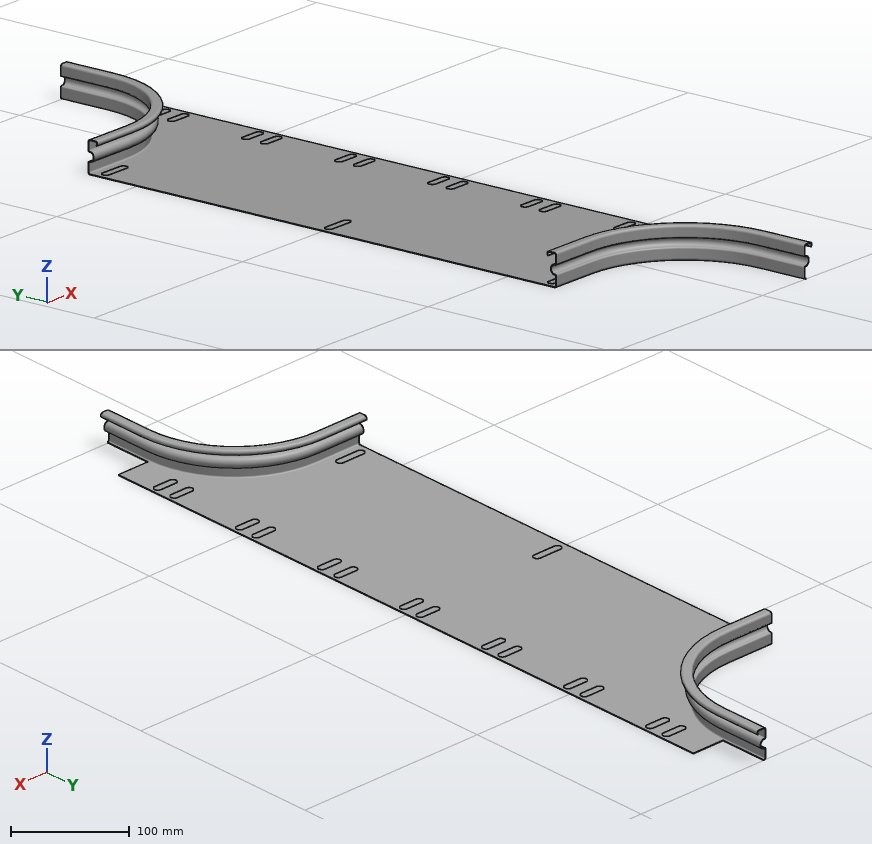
import cadquery as cq
import math

PLATE_WIDTH = 185.0
TOTAL_LENGTH = 801.0
SHEET = 1.0
HEIGHT = 31.0

LEAD = 50.0
BEND_RADIUS = 98.5
RAIL_X = LEAD + BEND_RADIUS
PLATE_END_Y = TOTAL_LENGTH / 2 - LEAD
RAIL_Y = PLATE_END_Y - BEND_RADIUS

FOOT_RADIUS = 2.5
GROOVE_Z = 16.0
GROOVE_RADIUS = 4.0
GROOVE_EDGE_RADIUS = 2.0
RIM_WIDTH = 10.5
RIM_RADIUS = 2.5
LIP_END_ANGLE = -60
TOUCHING = 0.01

SLOT_WIDTH = 7.6
SLOT_DEPTH = SHEET / 2
EDGE_SLOT_LENGTH = 25.0
EDGE_SLOT_X = 169.0
SLOT_PAIR_COUNT = 7
SLOT_PAIR_PITCH = 100.0
SLOT_PAIR_GAP = 20.0
SIDE_SLOT_LENGTH = 31.0
SIDE_SLOT_X = 21.0
SIDE_SLOT_PITCH = 240.0


def make_plate():
    """Flat sheet with concave left corners, reaching up to the foot of the rails."""
    edge_x = RAIL_X + FOOT_RADIUS
    edge_y = RAIL_Y - FOOT_RADIUS
    edge_radius = BEND_RADIUS + FOOT_RADIUS
    outline = (
        cq.Workplane("XY")
        .moveTo(0, -edge_y)
        .lineTo(LEAD, -edge_y)
        .radiusArc((edge_x, -PLATE_END_Y), edge_radius)
        .lineTo(PLATE_WIDTH, -PLATE_END_Y)
        .lineTo(PLATE_WIDTH, PLATE_END_Y)
        .lineTo(edge_x, PLATE_END_Y)
        .radiusArc((LEAD, edge_y), edge_radius)
        .lineTo(0, edge_y)
        .close()
    )
    return outline.extrude(SHEET)


def section_bends(inset):
    """Bends of one skin of the rail sheet, from foot to lip.

    Each bend is (centre x, centre z, radius, start angle, end angle).
    The skin lies `inset` behind the face towards the bend centre.
    """
    groove_edge_rise = GROOVE_RADIUS + GROOVE_EDGE_RADIUS
    edge_radius = GROOVE_EDGE_RADIUS - inset
    rim_z = HEIGHT - RIM_RADIUS
    rim_radius = RIM_RADIUS - inset
    return [
        (FOOT_RADIUS, FOOT_RADIUS, FOOT_RADIUS - inset, 270, 180),
        (GROOVE_EDGE_RADIUS, GROOVE_Z - groove_edge_rise, edge_radius, 180, 90),
        (GROOVE_EDGE_RADIUS, GROOVE_Z, GROOVE_RADIUS + inset, -90, 90),
        (GROOVE_EDGE_RADIUS, GROOVE_Z + groove_edge_rise, edge_radius, 270, 180),
        (RIM_RADIUS, rim_z, rim_radius, 180, 90),
        (RIM_WIDTH - RIM_RADIUS, rim_z, rim_radius, 90, LIP_END_ANGLE),
    ]


def bend_points(bend):
    """Start, middle and end point of a bend."""
    centre_x, centre_z, radius, start, end = bend
    angles = [math.radians(angle) for angle in (start, (start + end) / 2, end)]
    return [
        (centre_x + radius * math.cos(angle), centre_z + radius * math.sin(angle))
        for angle in angles
    ]


def rail_section(plane):
    """Sheet section: curved foot, wall with a round groove, and a rolled rim.

    Local x points away from the bend centre, local y points up.
    Straights join the bends that do not already touch.
    """
    front = [bend_points(bend) for bend in section_bends(0)]
    back = [bend_points(bend)[::-1] for bend in reversed(section_bends(SHEET))]
    reached = front[0][0]
    section = cq.Workplane(plane).moveTo(*reached)
    for start, middle, end in front + back:
        if math.dist(reached, start) > TOUCHING:
            section = section.lineTo(*start)
        section = section.threePointArc(middle, end)
        reached = end
    return section.close()


def make_rail():
    """Rail on the +Y side: lead along X, quarter bend, tail along Y."""
    lead_plane = cq.Plane(origin=(LEAD, RAIL_Y, 0), xDir=(0, -1, 0), normal=(-1, 0, 0))
    tail_plane = cq.Plane(origin=(RAIL_X, PLATE_END_Y, 0), xDir=(1, 0, 0), normal=(0, -1, 0))
    lead = rail_section(lead_plane).extrude(LEAD)
    tail = rail_section(tail_plane).extrude(-LEAD)
    bend = rail_section(tail_plane).revolve(90, (-BEND_RADIUS, 0), (-BEND_RADIUS, -1))
    return lead.union(bend).union(tail)


def cut_slots(plate, centres, length):
    """Sink a group of slots, lying along X, into the top of the plate."""
    outlines = cq.Workplane("XY", origin=(0, 0, SHEET)).pushPoints(centres).slot2D(length, SLOT_WIDTH)
    return plate.cut(outlines.extrude(-SLOT_DEPTH))


pair_centre = (SLOT_PAIR_COUNT - 1) / 2
edge_slots = [
    (EDGE_SLOT_X, (pair - pair_centre) * SLOT_PAIR_PITCH + side * SLOT_PAIR_GAP / 2)
    for pair in range(SLOT_PAIR_COUNT)
    for side in (-1, 1)
]
side_slots = [(SIDE_SLOT_X, step * SIDE_SLOT_PITCH) for step in (-1, 0, 1)]

plate = make_plate()
plate = cut_slots(plate, edge_slots, EDGE_SLOT_LENGTH)
plate = cut_slots(plate, side_slots, SIDE_SLOT_LENGTH)

rail = make_rail()
result = plate.union(rail).union(rail.mirror("XZ"))